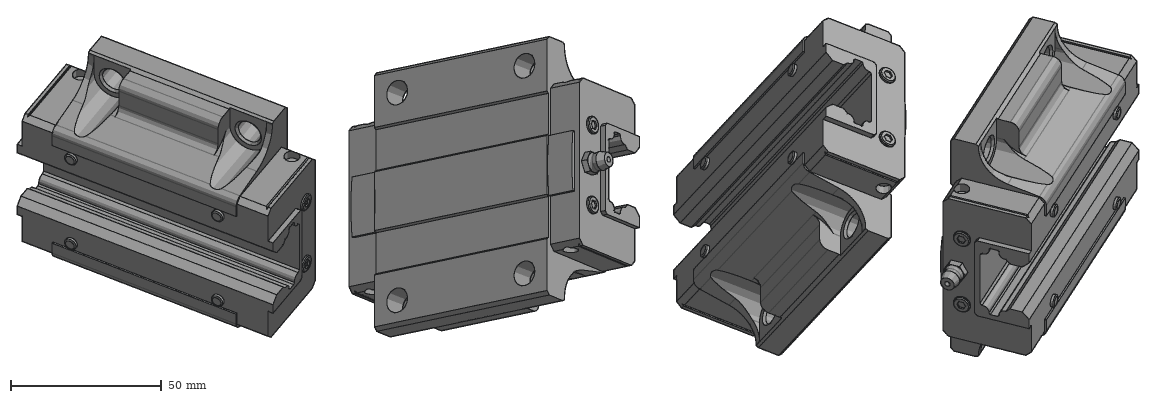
import cadquery as cq
import math


block_length = 70.5
flange_half_width = 45.0
block_depth = 34.4
top_chamfer = 1.3
flange_edge_depth = 9.1
flange_floor_depth = 10.0
bar_half_width = 44.2
bar_depth = 18.1
bar_edge_radius = 3.1
bar_root_radius = 3.1
bar_inner_z = 30.3
undercut_angle = math.radians(30)
flank_angle = math.radians(10)
flank_base_half_width = 29.0
flank_sweep_start = 44.0
bottom_radius = 3.0
skirt_inner_half_width = 22.0

relief_depth = 0.7
relief_slant = 0.6
relief_inner_half_width = 10.2
relief_outer_half_width = 25.7

bolt_x = 26.0
bolt_z = 36.1
bolt_hole_diameter = 8.5
bolt_hole_chamfer = 0.8
pocket_radius = 7.0
bar_length = 2 * (bolt_x - pocket_radius)

cap_end_x = 47.1
cap_half_width = 29.1
cap_top_depth = 2.0
cap_bottom_depth = 33.7
cap_chamfer = 2.0
end_plate_thickness = 1.3
parting_chamfer = 0.6
side_hole_x = 40.5
side_hole_depth_position = 6.2
side_hole_diameter = 5.2
side_hole_length = 3.1

crown_length = 90.2
crown_half_width = 10.4
crown_edge_depth = 0.9
crown_top_depth = 0.3

seal_end_x = 49.0
seal_half_width = 15.9
seal_top_depth = 14.1
seal_corner_chamfer = 1.0

rail_top_depth = 16.1
jaw_half_width = 9.5
jaw_chamfer = 2.5
groove_half_width = 14.0
ball_radius = 2.2
ball_row_z = 13.2
near_row_depth = 17.1
ball_row_spacing = 7.9
ball_row_start = 0.3
ball_row_end = 0.3

screw_z = 13.9
screw_depth_position = 9.0
screw_head_diameter = 6.0
screw_head_height = 0.99
screw_head_chamfer = 0.37
socket_across_flats = 2.7
socket_depth = 0.6

pin_x = 28.1
pin_z = 19.1
pin_diameter = 4.4
pin_end_depth = 35.0
pin_chamfer_height = 0.3
pin_chamfer_width = 0.5

nipple_depth_position = 7.0
nipple_hex_across_flats = 6.9
nipple_hex_length = 2.3
overall_length = 104.4
nipple_tip_x = overall_length - seal_end_x
nipple_tip_diameter = 4.9
nipple_bulge_distance = 2.9
nipple_shoulder_distance = 4.5
nipple_flare_distance = 5.4
nipple_bulge_diameter = 6.5
nipple_shoulder_diameter = 6.2
nipple_flare_diameter = 6.1
nipple_base_diameter = 6.8
nipple_dimple_diameter = 1.9
nipple_dimple_depth = 0.9

HEX_CORNER_RATIO = 2 / math.sqrt(3)


def at(depth, z):
    """Point of a cross-section, in the local axes of the YZ plane."""
    return (-depth, z)


def section(start_depth, start_z):
    return cq.Workplane("YZ").moveTo(*at(start_depth, start_z))


def prism(outline, length):
    """Close a cross-section and extrude it symmetrically along X."""
    return outline.close().extrude(length / 2, both=True)


def with_mirror(body, plane):
    return body.union(body.mirror(plane))


def polygon(points, length):
    return prism(cq.Workplane("YZ").polyline([at(d, z) for d, z in points]), length)


def box(x_limit, top_depth, bottom_depth, z_limit):
    corners = [
        (top_depth, -z_limit),
        (bottom_depth, -z_limit),
        (bottom_depth, z_limit),
        (top_depth, z_limit),
    ]
    return polygon(corners, 2 * x_limit)


def flank_z(depth):
    return flank_base_half_width + (block_depth - depth) * math.tan(flank_angle)


def undercut_depth(z):
    return flange_edge_depth + (flange_half_width - z) / math.tan(undercut_angle)


def half_block():
    """One flange and skirt: the underside of the flange sweeps tangentially into the flank."""
    normal_d = math.sin(flank_angle)
    normal_z = math.cos(flank_angle)
    rise = (flank_sweep_start - flank_z(flange_floor_depth)) * normal_z
    sweep_radius = rise / (1 - normal_d)
    center_depth = flange_floor_depth + sweep_radius
    sweep_end = at(center_depth - sweep_radius * normal_d, flank_sweep_start - sweep_radius * normal_z)
    middle_angle = (math.pi / 2 - flank_angle) / 2
    sweep_middle = at(
        center_depth - sweep_radius * math.cos(middle_angle),
        flank_sweep_start - sweep_radius * math.sin(middle_angle),
    )
    floor_z = flange_half_width - (flange_floor_depth - flange_edge_depth) * math.tan(undercut_angle)
    outline = (
        section(0, 0)
        .lineTo(*at(0, flange_half_width - top_chamfer))
        .lineTo(*at(top_chamfer, flange_half_width))
        .lineTo(*at(flange_edge_depth, flange_half_width))
        .lineTo(*at(flange_floor_depth, floor_z))
        .lineTo(*at(flange_floor_depth, flank_sweep_start))
        .threePointArc(sweep_middle, sweep_end)
        .lineTo(*at(block_depth, flank_base_half_width))
        .lineTo(*at(block_depth, skirt_inner_half_width))
        .lineTo(*at(cap_bottom_depth, skirt_inner_half_width))
        .lineTo(*at(cap_bottom_depth, 0))
    )
    bottom_edge = cq.selectors.NearestToPointSelector((0, -block_depth, flank_base_half_width))
    return prism(outline, block_length).edges(bottom_edge).fillet(bottom_radius)


def half_bar():
    """Bar between two bolt holes, rounded at its edge and blended into the flank."""
    flank_end_depth = block_depth - (bar_inner_z - flank_base_half_width) / math.tan(flank_angle)
    bar = polygon(
        [
            (0, bar_inner_z),
            (0, flange_half_width - top_chamfer),
            (top_chamfer, flange_half_width),
            (flange_edge_depth, flange_half_width),
            (undercut_depth(bar_half_width), bar_half_width),
            (bar_depth, bar_half_width),
            (bar_depth, flank_z(bar_depth)),
            (flank_end_depth, bar_inner_z),
        ],
        bar_length,
    )
    outer_edge = cq.selectors.NearestToPointSelector((0, -bar_depth, bar_half_width))
    root_edge = cq.selectors.NearestToPointSelector((0, -bar_depth, flank_z(bar_depth)))
    return bar.edges(root_edge).fillet(bar_root_radius).edges(outer_edge).fillet(bar_edge_radius)


def top_relief():
    """Trapezoidal groove between the centre pad and one flange pad of the mounting face."""
    return polygon(
        [
            (0, relief_inner_half_width),
            (relief_depth, relief_inner_half_width + relief_slant),
            (relief_depth, relief_outer_half_width - relief_slant),
            (0, relief_outer_half_width),
        ],
        block_length,
    )


def bolt_cut():
    """Chamfered bolt hole with a U-shaped pocket that opens outwards below it."""
    floor = cq.Workplane("XZ", origin=(bolt_x, -flange_floor_depth, bolt_z))
    reach = block_depth - flange_floor_depth
    pocket = floor.circle(pocket_radius).extrude(reach)
    outlet = floor.center(0, pocket_radius).rect(2 * pocket_radius, 2 * pocket_radius).extrude(reach)
    hole = floor.circle(bolt_hole_diameter / 2).extrude(-flange_floor_depth)
    countersink = (
        floor.circle(bolt_hole_diameter / 2 + bolt_hole_chamfer)
        .workplane(offset=-bolt_hole_chamfer)
        .circle(bolt_hole_diameter / 2)
        .loft()
    )
    return pocket.union(outlet).union(hole).union(countersink)


def steel_block():
    block = with_mirror(half_block(), "XY")
    block = block.cut(with_mirror(top_relief(), "XY"))
    bolt_cuts = with_mirror(bolt_cut(), "YZ")
    block = block.cut(with_mirror(bolt_cuts, "XY"))
    bar = half_bar().cut(bolt_cuts)
    return block.union(with_mirror(bar, "XY"))


def cap_body(x_limit):
    """Prism with the chamfered end-cap outline."""
    body = box(x_limit, cap_top_depth, cap_bottom_depth, cap_half_width)
    return body.edges("|X").chamfer(cap_chamfer)


def end_caps():
    parting_x = cap_end_x - end_plate_thickness
    core = cap_body(parting_x)
    core = core.faces("<X or >X").edges("|Y").chamfer(parting_chamfer)
    plates = cap_body(cap_end_x).cut(box(parting_x, 0, block_depth, flange_half_width))
    return core.union(plates)


def crown():
    outline = (
        section(cap_top_depth, -crown_half_width)
        .lineTo(*at(crown_edge_depth, -crown_half_width))
        .threePointArc(at(crown_top_depth, 0), at(crown_edge_depth, crown_half_width))
        .lineTo(*at(cap_top_depth, crown_half_width))
    )
    return prism(outline, crown_length)


def seal_plates():
    plates = box(seal_end_x, seal_top_depth, cap_bottom_depth, seal_half_width)
    return plates.edges("|X and >Y").chamfer(seal_corner_chamfer)


def half_rail_opening():
    """Rail clearance on one side, leaving two rounded ball rows with a groove between them."""
    start_offset = math.sqrt(ball_radius**2 - ball_row_start**2)
    end_offset = math.sqrt(ball_radius**2 - ball_row_end**2)
    diagonal = ball_radius / math.sqrt(2)
    far_row_depth = near_row_depth + ball_row_spacing
    row_edge_z = ball_row_z - start_offset
    groove_edge_z = ball_row_z + ball_row_end
    groove_chamfer = groove_half_width - groove_edge_z
    near_start_depth = near_row_depth - ball_row_start
    near_end_depth = near_row_depth + end_offset
    far_start_depth = far_row_depth - end_offset
    far_end_depth = far_row_depth + ball_row_start
    outline = (
        section(rail_top_depth, 0)
        .lineTo(*at(rail_top_depth, row_edge_z - (near_start_depth - rail_top_depth)))
        .lineTo(*at(near_start_depth, row_edge_z))
        .threePointArc(
            at(near_row_depth + diagonal, ball_row_z - diagonal),
            at(near_end_depth, groove_edge_z),
        )
        .lineTo(*at(near_end_depth + groove_chamfer, groove_half_width))
        .lineTo(*at(far_start_depth - groove_chamfer, groove_half_width))
        .lineTo(*at(far_start_depth, groove_edge_z))
        .threePointArc(
            at(far_row_depth - diagonal, ball_row_z - diagonal),
            at(far_end_depth, row_edge_z),
        )
        .lineTo(*at(far_end_depth + row_edge_z - jaw_half_width, jaw_half_width))
        .lineTo(*at(cap_bottom_depth - jaw_chamfer, jaw_half_width))
        .lineTo(*at(cap_bottom_depth, jaw_half_width + jaw_chamfer))
        .lineTo(*at(cap_bottom_depth, 0))
    )
    return prism(outline, 2 * seal_end_x)


def side_holes():
    """Blind holes in both sides of both end caps."""
    hole = (
        cq.Workplane("XY", origin=(side_hole_x, -side_hole_depth_position, cap_half_width))
        .circle(side_hole_diameter / 2)
        .extrude(-side_hole_length)
    )
    return with_mirror(with_mirror(hole, "YZ"), "XY")


def screw_heads():
    head = (
        cq.Workplane("YZ", origin=(cap_end_x, -screw_depth_position, screw_z))
        .circle(screw_head_diameter / 2)
        .extrude(screw_head_height)
        .faces(">X")
        .chamfer(screw_head_chamfer)
        .faces(">X")
        .workplane(centerOption="CenterOfBoundBox")
        .polygon(6, socket_across_flats * HEX_CORNER_RATIO)
        .cutBlind(-socket_depth)
    )
    return with_mirror(with_mirror(head, "YZ"), "XY")


def pin_heads():
    head = (
        cq.Workplane("XZ", origin=(pin_x, -cap_bottom_depth, pin_z))
        .circle(pin_diameter / 2)
        .extrude(pin_end_depth - cap_bottom_depth)
        .faces("<Y")
        .chamfer(pin_chamfer_height, pin_chamfer_width)
    )
    return with_mirror(with_mirror(head, "YZ"), "XY")


def make_carriage():
    return (
        steel_block()
        .union(end_caps())
        .union(crown())
        .union(seal_plates())
        .cut(with_mirror(half_rail_opening(), "XY"))
        .cut(side_holes())
        .union(screw_heads())
        .union(pin_heads())
    )


def make_nipple():
    """Hexagon seated on the -X end plate, with a turned head and a conical dimple in the tip."""
    hexagon = (
        cq.Workplane("YZ", origin=(-cap_end_x, -nipple_depth_position, 0))
        .polygon(6, nipple_hex_across_flats * HEX_CORNER_RATIO)
        .extrude(-nipple_hex_length)
    )
    head_length = nipple_tip_x - cap_end_x - nipple_hex_length
    head = (
        cq.Workplane("XY", origin=(-nipple_tip_x, -nipple_depth_position, 0))
        .moveTo(nipple_dimple_depth, 0)
        .lineTo(0, nipple_dimple_diameter / 2)
        .lineTo(0, nipple_tip_diameter / 2)
        .lineTo(nipple_bulge_distance, nipple_bulge_diameter / 2)
        .lineTo(nipple_shoulder_distance, nipple_shoulder_diameter / 2)
        .threePointArc(
            (nipple_flare_distance, nipple_flare_diameter / 2),
            (head_length, nipple_base_diameter / 2),
        )
        .lineTo(head_length, 0)
        .close()
        .revolve(360, (0, 0), (1, 0))
    )
    return hexagon.union(head)


carriage = make_carriage()
nipple = make_nipple()
result = cq.Compound.makeCompound([carriage.val(), nipple.val()])